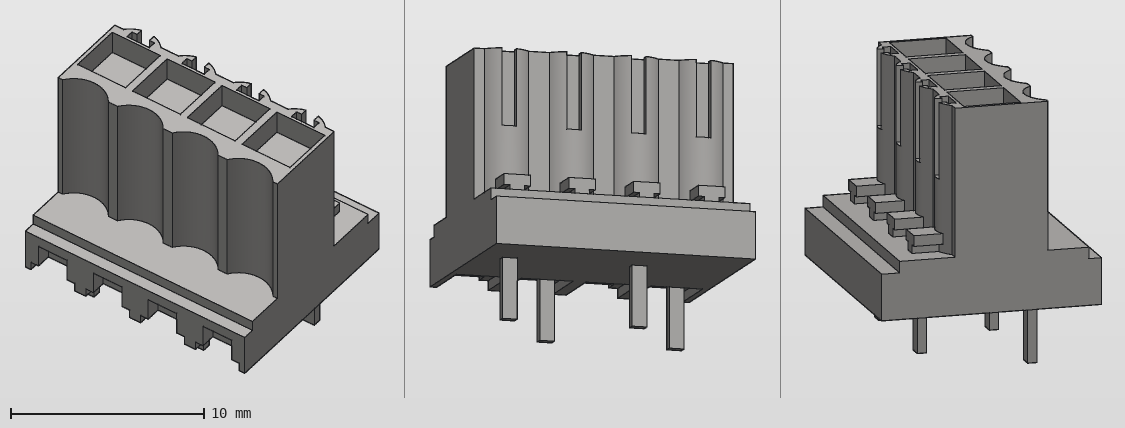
import cadquery as cq

WIDTH = 14.0
POLE_COUNT = 4
POLE_PITCH = WIDTH / POLE_COUNT
POLE_CENTRES = [(i - (POLE_COUNT - 1) / 2) * POLE_PITCH for i in range(POLE_COUNT)]

BASE_DEPTH = 11.85
BASE_FRONT = -BASE_DEPTH / 2
BASE_BACK = BASE_DEPTH / 2
LEDGE_HEIGHT = 2.5
STEP_HEIGHT = 0.61
FRONT_LEDGE_DEPTH = 0.69
BACK_LEDGE_DEPTH = 0.97
BASE_TOP = LEDGE_HEIGHT + STEP_HEIGHT

TOWER_DEPTH = 5
TOWER_FRONT = BASE_FRONT + 2.89
TOWER_BACK = TOWER_FRONT + TOWER_DEPTH
TOWER_HEIGHT = 7.97
TOWER_TOP = BASE_TOP + TOWER_HEIGHT

SCALLOP_WIDTH = 2.92
SCALLOP_DEPTH = 0.76
BULGE_WIDTH = 2.39
BULGE_DEPTH = 0.53
BULGE_PEAK = TOWER_BACK + BULGE_DEPTH

POCKET_SIDE = 3.06
POCKET_DEPTH = 1.4
POCKET_BACK = TOWER_BACK - 0.53

FLANGE_WIDTH = 1.43
NECK_WIDTH = 0.79
SLOT_FLANGE_DEPTH = 0.45
SLOT_FLANGE_FRONT = TOWER_BACK - 0.36
SLOT_LENGTH = 4.09

TAB_REACH = 1.92
TAB_STEM_HEIGHT = 0.46
TAB_FLANGE_HEIGHT = 0.57

PIN_WIDTH = 0.8
PIN_DEPTH = 0.5
PIN_PROJECTION = 3.22
FRONT_ROW = BASE_FRONT + 3.33
ROW_SPACING = 4.92

CHANNEL_WIDTH = 2.79
CHANNEL_HEIGHT = 0.51
CHANNEL_BACK = FRONT_ROW + PIN_DEPTH / 2
NOTCH_WIDTH = 1.82
NOTCH_TOP = 1.87
NOTCH_DEPTH = 0.86


def block(x_centre, x_size, y_start, y_end, z_start, z_end):
    """Box centred on x_centre in X, between the given limits in Y and Z."""
    return cq.Workplane("XY").box(
        x_size, y_end - y_start, z_end - z_start, centered=(True, False, False)
    ).translate((x_centre, y_start, z_start))


def arc_segment(x_centre, y_chord, chord, rise):
    """Column over the tower height whose section is a chord with an arc rising toward +Y."""
    return (
        cq.Workplane("XY", origin=(x_centre, y_chord, BASE_TOP))
        .moveTo(-chord / 2, 0)
        .threePointArc((0, rise), (chord / 2, 0))
        .close()
        .extrude(TOWER_HEIGHT)
    )


def pocket(x_centre):
    """Square pocket sunk into the top of the tower."""
    pocket_front = POCKET_BACK - POCKET_SIDE
    return block(x_centre, POCKET_SIDE, pocket_front, POCKET_BACK, TOWER_TOP - POCKET_DEPTH, TOWER_TOP)


def t_slot(x_centre):
    """Vertical T-shaped slot with its neck opening through the bulge."""
    flange_back = SLOT_FLANGE_FRONT + SLOT_FLANGE_DEPTH
    floor = TOWER_TOP - SLOT_LENGTH
    flange = block(x_centre, FLANGE_WIDTH, SLOT_FLANGE_FRONT, flange_back, floor, TOWER_TOP)
    neck = block(x_centre, NECK_WIDTH, SLOT_FLANGE_FRONT, BULGE_PEAK, floor, TOWER_TOP)
    return flange.union(neck)


def tab(x_centre):
    """Horizontal T-section tab: narrow stem on the base, wide flange on top."""
    tab_end = TOWER_BACK + TAB_REACH
    stem_top = BASE_TOP + TAB_STEM_HEIGHT
    stem = block(x_centre, NECK_WIDTH, TOWER_BACK, tab_end, BASE_TOP, stem_top)
    flange = block(x_centre, FLANGE_WIDTH, TOWER_BACK, tab_end, stem_top, stem_top + TAB_FLANGE_HEIGHT)
    return stem.union(flange)


def front_opening(x_centre):
    """Notch and wider channel at the bottom of the base's front face."""
    channel = block(x_centre, CHANNEL_WIDTH, BASE_FRONT, CHANNEL_BACK, 0, CHANNEL_HEIGHT)
    notch = block(x_centre, NOTCH_WIDTH, BASE_FRONT, BASE_FRONT + NOTCH_DEPTH, 0, NOTCH_TOP)
    return channel.union(notch)


def make_pin(index):
    """Straight rectangular pin ending level with the channel ceiling."""
    row = FRONT_ROW if index % 2 == 0 else FRONT_ROW + ROW_SPACING
    front = row - PIN_DEPTH / 2
    return block(POLE_CENTRES[index], PIN_WIDTH, front, front + PIN_DEPTH, -PIN_PROJECTION, CHANNEL_HEIGHT)


def make_housing(pins):
    """Stepped base and tower with all pole features and seats for the pins."""
    lower_base = block(0, WIDTH, BASE_FRONT, BASE_BACK, 0, LEDGE_HEIGHT)
    upper_base = block(
        0, WIDTH, BASE_FRONT + FRONT_LEDGE_DEPTH, BASE_BACK - BACK_LEDGE_DEPTH, LEDGE_HEIGHT, BASE_TOP
    )
    tower = block(0, WIDTH, TOWER_FRONT, TOWER_BACK, BASE_TOP, TOWER_TOP)
    body = lower_base.union(upper_base).union(tower)
    for x in POLE_CENTRES:
        body = body.union(arc_segment(x, TOWER_BACK, BULGE_WIDTH, BULGE_DEPTH))
        body = body.cut(arc_segment(x, TOWER_FRONT, SCALLOP_WIDTH, SCALLOP_DEPTH))
        body = body.cut(pocket(x)).cut(t_slot(x))
        body = body.union(tab(x))
        body = body.cut(front_opening(x))
    for pin in pins:
        body = body.cut(pin)
    return body


pins = [make_pin(i) for i in range(POLE_COUNT)]
housing = make_housing(pins)

result = cq.Compound.makeCompound([housing.val(), *[pin.val() for pin in pins]])